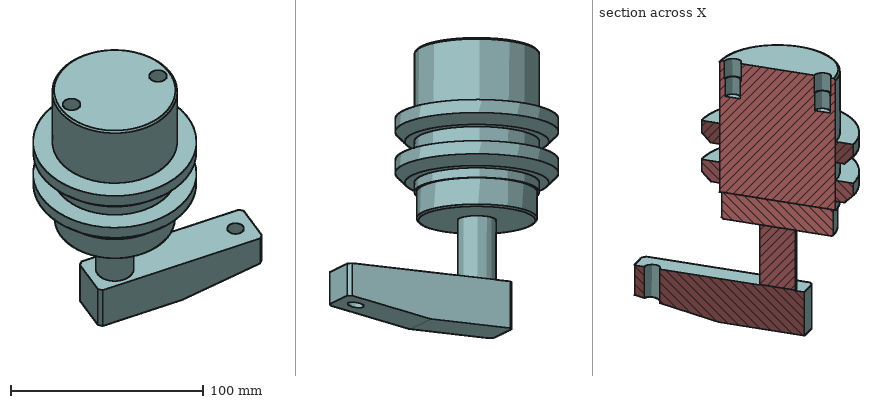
import cadquery as cq

ARM_HEIGHT = 25.0
ROD_LENGTH = 34.0
CAP_HEIGHT = 15.0
HOUSING_HEIGHT = 75.0

ROD_BOTTOM = ARM_HEIGHT
CAP_BOTTOM = ROD_BOTTOM + ROD_LENGTH
HOUSING_BOTTOM = CAP_BOTTOM + CAP_HEIGHT

HOUSING_DIAMETER = 65.0
CAP_DIAMETER = 62.7
ROD_DIAMETER = 20.0
EDGE_CHAMFER = 1.0

PORT_MOUTH_DIAMETER = 9.1
PORT_MOUTH_DEPTH = 10.0
PORT_BORE_DIAMETER = 8.2
PORT_DEPTH = 20.0
PORT_SPACING = 50.0
PORT_COUNT = 2

RING_DIAMETER = 85.0
RING_HEIGHT = 12.0
RING_CHAMFER = 5.0
RING_COUNT = 2
RING_PITCH = 22.0
FIRST_RING_OFFSET = 5.0
FIRST_RING_BOTTOM = HOUSING_BOTTOM + FIRST_RING_OFFSET

ARM_WIDTH = 25.0
ARM_REACH = 80.0
ARM_HEEL = 15.0
ARM_CORNER_CHAMFER = 2.0
ARM_TAPER_LENGTH = 47.1
ARM_TAPER_RISE = 7.9
ARM_HOLE_DIAMETER = 8.5
ARM_HOLE_TO_TIP = 10.0


def make_housing():
    """Cylinder with a chamfered top rim and two blind, stepped ports in its top face."""
    body = (
        cq.Workplane("XY", origin=(0, 0, HOUSING_BOTTOM))
        .circle(HOUSING_DIAMETER / 2)
        .extrude(HOUSING_HEIGHT)
        .faces(">Z")
        .chamfer(EDGE_CHAMFER)
    )
    return (
        body.faces(">Z")
        .workplane(origin=(0, 0, 0))
        .rarray(1.5, PORT_SPACING, 1, PORT_COUNT)
        .cboreHole(PORT_BORE_DIAMETER, PORT_MOUTH_DIAMETER, PORT_MOUTH_DEPTH, PORT_DEPTH)
    )


def make_ring(bottom):
    """Ring that fits around the housing, with its lower outer edge chamfered."""
    disc = (
        cq.Workplane("XY", origin=(0, 0, bottom))
        .circle(RING_DIAMETER / 2)
        .extrude(RING_HEIGHT)
        .faces("<Z")
        .chamfer(RING_CHAMFER)
    )
    return disc.faces(">Z").workplane(origin=(0, 0, 0)).hole(HOUSING_DIAMETER)


def make_cap():
    """Plain end cap below the housing, with a chamfered lower rim."""
    return (
        cq.Workplane("XY", origin=(0, 0, CAP_BOTTOM))
        .circle(CAP_DIAMETER / 2)
        .extrude(CAP_HEIGHT)
        .faces("<Z")
        .chamfer(EDGE_CHAMFER)
    )


def make_rod():
    """Piston rod between the cap and the arm."""
    return cq.Workplane("XY", origin=(0, 0, ROD_BOTTOM)).circle(ROD_DIAMETER / 2).extrude(ROD_LENGTH)


def make_arm():
    """Bar whose underside rises toward its tip, with chamfered corners and a through hole."""
    side_profile = [
        (-ARM_HEEL, 0),
        (ARM_REACH - ARM_TAPER_LENGTH, 0),
        (ARM_REACH, ARM_TAPER_RISE),
        (ARM_REACH, ARM_HEIGHT),
        (-ARM_HEEL, ARM_HEIGHT),
    ]
    bar = (
        cq.Workplane("YZ")
        .polyline(side_profile)
        .close()
        .extrude(ARM_WIDTH / 2, both=True)
        .edges("|Z")
        .chamfer(ARM_CORNER_CHAMFER)
    )
    return (
        bar.faces(">Z")
        .workplane(origin=(0, ARM_REACH - ARM_HOLE_TO_TIP, 0))
        .hole(ARM_HOLE_DIAMETER)
    )


housing = make_housing()
rings = [make_ring(FIRST_RING_BOTTOM + i * RING_PITCH) for i in range(RING_COUNT)]
cap = make_cap()
rod = make_rod()
arm = make_arm()

result = cq.Compound.makeCompound(
    [housing.val(), *[ring.val() for ring in rings], cap.val(), rod.val(), arm.val()]
)